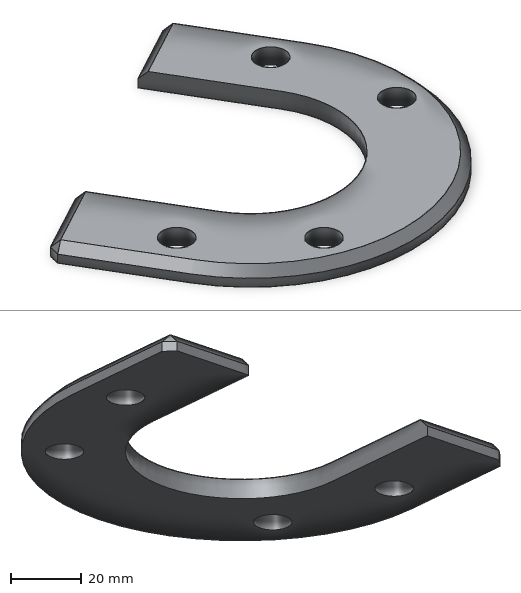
import cadquery as cq
import math

outer_radius = 63.0
inner_radius = 33.3
leg_length = 42.6
thickness = 6.0
bevel = thickness / 2
hole_diameter = 11.0
hole_circle_radius = 50.7
hole_angles = (50, 99)


def horseshoe_plate():
    """Plain U plate, bend centred on the origin and open towards -X."""
    return (
        cq.Workplane("XY")
        .moveTo(-leg_length, -outer_radius)
        .lineTo(0, -outer_radius)
        .threePointArc((outer_radius, 0), (0, outer_radius))
        .lineTo(-leg_length, outer_radius)
        .lineTo(-leg_length, inner_radius)
        .lineTo(0, inner_radius)
        .threePointArc((inner_radius, 0), (0, -inner_radius))
        .lineTo(-leg_length, -inner_radius)
        .close()
        .extrude(thickness)
    )


def bevel_outside(plate):
    """Bevel the outer top edges, the leg ends and the outer corners of the legs."""
    leg_middle = (outer_radius + inner_radius) / 2
    top_points = [(-leg_length / 2, side * outer_radius) for side in (1, -1)]
    top_points += [(-leg_length, side * leg_middle) for side in (1, -1)]
    top_points.append((outer_radius, 0))
    corner_points = [(-leg_length, side * outer_radius) for side in (1, -1)]

    edges = cq.Workplane("XY")
    for x, y in top_points:
        edges = edges.add(plate.edges(cq.NearestToPointSelector((x, y, thickness))))
    for x, y in corner_points:
        edges = edges.add(plate.edges("|Z").edges(cq.NearestToPointSelector((x, y, thickness / 2))))
    return plate.newObject([plate.val().chamfer(bevel, None, edges.vals())])


def hole_centres():
    centres = []
    for angle in hole_angles:
        x = hole_circle_radius * math.cos(math.radians(angle))
        y = hole_circle_radius * math.sin(math.radians(angle))
        centres += [(x, y), (x, -y)]
    return centres


def mounting_holes():
    return cq.Workplane("XY").pushPoints(hole_centres()).circle(hole_diameter / 2).extrude(thickness)


result = bevel_outside(horseshoe_plate()).cut(mounting_holes())